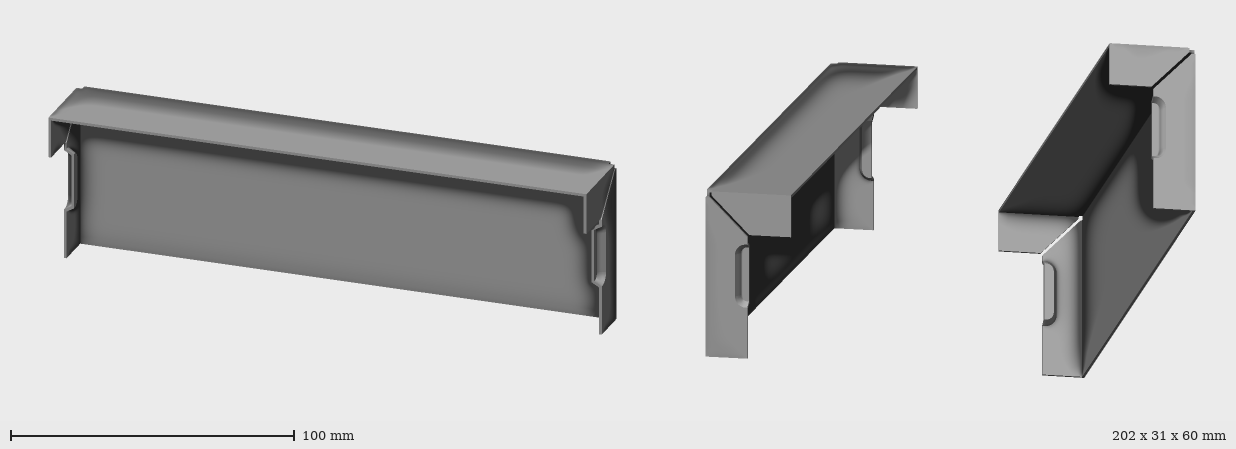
import cadquery as cq
import math

length = 202.0
depth = 31.0
height = 60.0
sheet = 1.0

flange_width = 15.2
relief_size = 2.2
miter_gap = 1.0

recess_length = 22.8
recess_reach = 4.5
recess_depth = 2.8
recess_inset = 1.6
recess_corner_radius = 3.8
recess_below_top = 30.0

half_length = length / 2
flange_front = depth - flange_width
recess_z = height - recess_below_top
wall_angle = math.atan(recess_inset / recess_depth)
wall_offset = sheet / math.cos(wall_angle)


def folded_sheet():
    """L-shaped end plates joined by the back and top plates."""
    outline = [
        (depth, 0),
        (depth, height),
        (0, height),
        (0, height - flange_width),
        (flange_front, height - flange_width),
        (flange_front, 0),
    ]
    body = cq.Workplane("YZ").polyline(outline).close().extrude(half_length, both=True)
    interior = cq.Workplane("XY").box(
        length - 2 * sheet, depth - sheet, height - sheet, centered=(True, False, False)
    )
    return body.cut(interior)


def miter_slits():
    """Diagonal slit through both ends, from the rear corner to the inner flange corner."""
    half_gap = miter_gap / math.sqrt(2)
    inner_z = height - flange_width
    outline = [
        (depth - sheet, height - sheet + half_gap),
        (depth - sheet, height - sheet - half_gap),
        (flange_front, inner_z - half_gap),
        (flange_front - half_gap, inner_z - half_gap),
        (flange_front - half_gap, inner_z),
    ]
    slit = cq.Workplane("YZ").polyline(outline).close().extrude(half_length, both=True)
    center = cq.Workplane("XY").box(
        length - 2 * sheet, depth, height, centered=(True, False, False)
    )
    return slit.cut(center)


def corner_reliefs():
    """Small cubic openings where the back, top and end plates meet."""
    return (
        cq.Workplane("XY", origin=(0, depth - relief_size / 2, height - relief_size / 2))
        .pushPoints([(side * (half_length - relief_size / 2), 0) for side in (-1, 1)])
        .box(relief_size, relief_size, relief_size)
    )


def recess_form(offset, form_depth):
    """Tapered rounded block at the left end, centered on the flange's front edge."""
    return (
        cq.Workplane("YZ", origin=(-half_length, flange_front, recess_z))
        .sketch()
        .rect(2 * (recess_reach + offset), recess_length + 2 * offset)
        .vertices()
        .fillet(recess_corner_radius + offset)
        .finalize()
        .extrude(form_depth, taper=math.degrees(wall_angle))
    )


def both_ends(left_form):
    return left_form.union(left_form.mirror("YZ"))


behind_flange_edge = cq.Workplane("XY", origin=(0, flange_front, 0)).box(
    length, flange_width, height, centered=(True, False, False)
)
recess_shells = both_ends(recess_form(wall_offset, recess_depth + sheet)).intersect(behind_flange_edge)
recess_cavities = both_ends(recess_form(0, recess_depth))

result = folded_sheet().cut(miter_slits()).cut(corner_reliefs())
result = result.union(recess_shells).cut(recess_cavities)